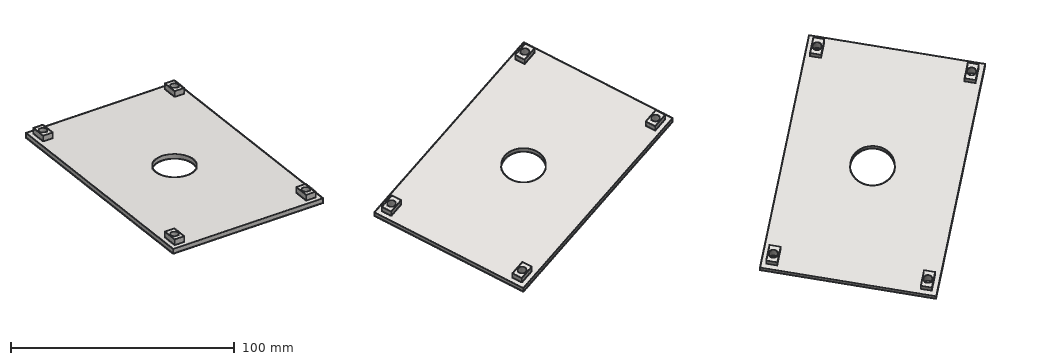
import cadquery as cq

plate_length = 120.0
plate_width = 80.0
total_height = 5.5
boss_height = 3.0
plate_thickness = total_height - boss_height
center_hole_diameter = 20.0

boss_length = 8.0
boss_width = 5.0
boss_edge_gap = 2.4
boss_hole_diameter = 4.0

boss_x = plate_length / 2 - boss_edge_gap - boss_length / 2
boss_y = plate_width / 2 - boss_edge_gap - boss_width / 2
boss_centers = [(x, y) for x in (-boss_x, boss_x) for y in (-boss_y, boss_y)]


def make_plate():
    """Flat plate with its underside at Z = 0."""
    return cq.Workplane("XY").box(plate_length, plate_width, plate_thickness, centered=(True, True, False))


def make_bosses():
    """Corner blocks that rise from the underside through the plate, so they fuse with it."""
    return cq.Workplane("XY").pushPoints(boss_centers).rect(boss_length, boss_width).extrude(total_height)


def make_holes():
    """Cutters for the central opening and the boss holes, all through the full height."""
    center_hole = cq.Workplane("XY").circle(center_hole_diameter / 2).extrude(total_height)
    boss_holes = cq.Workplane("XY").pushPoints(boss_centers).circle(boss_hole_diameter / 2).extrude(total_height)
    return center_hole.union(boss_holes)


result = make_plate().union(make_bosses()).cut(make_holes())